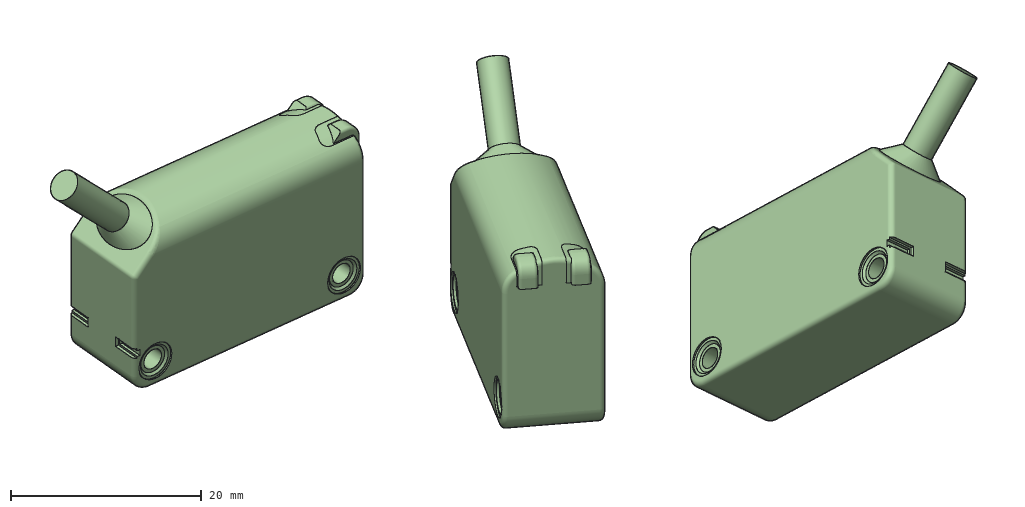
import cadquery as cq
import math


overall_length = 38.03

width = 11.0
length = 31.07
height = 20.08
crown_radius = 7.5
shoulder_radius = 2.85
cable_face_foot = 14.68
base_corner_radius = 2.05
edge_radius = 0.57

hole_y = (2.8, 28.2)
hole_z = 3.08
hole_radius = 1.18
rim_radius = 2.2
rim_depth = 0.2
funnel_top_radius = 1.85
funnel_floor_radius = 1.6
funnel_depth = 0.25

slot_inner_x = 2.32
slot_bottom = 4.45
slot_top = 5.63
slot_depth = 0.72
slot_step = 0.23
slot_ledge_depth = 0.38

cable_radius = 1.7
axis_sum = 20.75
boot_half_width = 4.0
boot_half_height = 2.8
boot_length = 1.67

hook_inner_x = 1.8
hook_outer_x = 3.88
hook_back = 31.75
hook_bottom = 17.15
hook_bend_radius = 1.75
hook_flat_front = 29.15
hook_edge_radius = 0.38
pad_inner_x = 1.3
pad_outer_x = 4.0
pad_front = 27.5
pad_inner_radius = 0.7
pad_outer_radius = 1.05

half_width = width / 2
cable_face_y = (axis_sum - cable_face_foot) / 2
cable_face = cq.Plane(
    origin=(0, cable_face_y, axis_sum - cable_face_y), xDir=(1, 0, 0), normal=(0, -1, 1)
)


cable_tip_y = hook_back - overall_length
cable_length = (cable_face_y - cable_tip_y) / math.sin(math.radians(45)) - cable_radius


def side_prism(outline, x_start, x_end):
    """Extrude a closed outline drawn in (Y, Z) from x_start to x_end."""
    return outline.close().extrude(x_end - x_start).translate((x_start, 0, 0))


def roof_section():
    """Cross-section in (X, Z): straight sides, shoulder arcs and a crown arc, all tangent."""
    crown_z = height - crown_radius
    shoulder_x = half_width - shoulder_radius
    centre_gap = crown_radius - shoulder_radius
    shoulder_z = crown_z + math.sqrt(centre_gap**2 - shoulder_x**2)
    join_angle = math.atan2(shoulder_z - crown_z, shoulder_x)
    middle_angle = join_angle / 2
    join_x = crown_radius * math.cos(join_angle)
    join_z = crown_z + crown_radius * math.sin(join_angle)
    middle_x = shoulder_x + shoulder_radius * math.cos(middle_angle)
    middle_z = shoulder_z + shoulder_radius * math.sin(middle_angle)
    return (
        cq.Workplane("XZ")
        .moveTo(-half_width, 0)
        .lineTo(half_width, 0)
        .lineTo(half_width, shoulder_z)
        .threePointArc((middle_x, middle_z), (join_x, join_z))
        .threePointArc((0, height), (-join_x, join_z))
        .threePointArc((-middle_x, middle_z), (-half_width, shoulder_z))
        .close()
    )


def housing_shell():
    """Solid outer shape of the housing with its rounded edges."""
    side_outline = (
        cq.Workplane("YZ")
        .lineTo(length, 0)
        .lineTo(length, height)
        .lineTo(height - cable_face_foot, height)
        .lineTo(0, cable_face_foot)
    )
    side = side_prism(side_outline, -half_width, half_width)
    side = side.edges("|X and <Z").fillet(base_corner_radius)
    shell = side.intersect(roof_section().extrude(-length))
    foot_edge = shell.edges("|X").edges(cq.NearestToPointSelector((0, 0, cable_face_foot)))
    base_edges = shell.edges("|Y and <Z")
    outline_edges = shell.edges("not (|X or |Y)")
    return outline_edges.add(base_edges).add(foot_edge).fillet(edge_radius)


def cylinder_along_axis(start, end, radius):
    """Cylinder on the cable axis between two distances from the cable face."""
    return cq.Workplane(cable_face).workplane(offset=start).circle(radius).extrude(end - start)


def boot():
    """Elliptical collar that narrows to the round cable."""
    return (
        cq.Workplane(cable_face)
        .ellipse(boot_half_width, boot_half_height)
        .workplane(offset=boot_length)
        .ellipse(cable_radius, cable_radius)
        .loft()
    )


def mounting_hole(y):
    """Through hole with a shallow rim recess and a funnel on both sides."""
    centre = (0, y, hole_z)
    hole = cq.Workplane("YZ", origin=centre).circle(hole_radius).extrude(half_width, both=True)
    for side in (-1, 1):
        face = cq.Workplane("YZ", origin=(side * half_width, y, hole_z))
        rim = face.circle(rim_radius).extrude(-side * rim_depth)
        funnel = (
            face.workplane(offset=-side * rim_depth)
            .circle(funnel_top_radius)
            .workplane(offset=-side * funnel_depth)
            .circle(funnel_floor_radius)
            .loft()
        )
        hole = hole.union(rim).union(funnel)
    return hole


def slot_block(inset, depth, side):
    """Box from the front wall inward and from the slot end out through one side wall."""
    inner_x = slot_inner_x + inset
    slot_width = half_width - inner_x
    slot_height = slot_top - slot_bottom - 2 * inset
    centre = (side * (inner_x + slot_width / 2), depth / 2, (slot_top + slot_bottom) / 2)
    return cq.Workplane().box(slot_width, depth, slot_height).translate(centre)


def corner_slot(side):
    """Slot with a ledge all round its floor."""
    return slot_block(0, slot_ledge_depth, side).union(slot_block(slot_step, slot_depth, side))


def hook_pad(side):
    """Block let into the roof and rear wall, with a 45 degree front end with rounded corners."""
    lower_front = pad_front - (height - hook_bottom)
    outline = (
        cq.Workplane("YZ")
        .moveTo(length, hook_bottom)
        .lineTo(length, height)
        .lineTo(pad_front, height)
        .lineTo(lower_front, hook_bottom)
    )
    pad = side_prism(outline, pad_inner_x, pad_outer_x)
    pad = pad.edges("<X exc (|Y or |Z)").fillet(pad_inner_radius)
    pad = pad.edges(">X exc (|Y or |Z)").fillet(pad_outer_radius)
    return pad if side > 0 else pad.mirror("YZ")


def hook_claw(side):
    """Bent bar over the rear edge of the roof, running on into the housing."""
    bend_offset = hook_bend_radius * (1 - math.sqrt(0.5))
    inner_front = hook_flat_front - (height - hook_bottom)
    outline = (
        cq.Workplane("YZ")
        .moveTo(hook_back, hook_bottom)
        .lineTo(hook_back, height - hook_bend_radius)
        .threePointArc(
            (hook_back - bend_offset, height - bend_offset),
            (hook_back - hook_bend_radius, height),
        )
        .lineTo(hook_flat_front, height)
        .lineTo(inner_front, hook_bottom)
    )
    claw = side_prism(outline, hook_inner_x, hook_outer_x)
    claw = claw.faces(">Y").edges("|Z").fillet(hook_edge_radius)
    return claw if side > 0 else claw.mirror("YZ")


def make_hook(side, shell):
    """One hook: the pad flush with the housing and the claw standing outside it."""
    pad = hook_pad(side).intersect(shell)
    claw = hook_claw(side).cut(shell)
    return claw.union(pad)


def make_housing(shell):
    """Housing with boot, cable bore, holes, slots and the pockets for the hook pads."""
    housing = shell.union(boot()).cut(cylinder_along_axis(0, boot_length, cable_radius))
    for y in hole_y:
        housing = housing.cut(mounting_hole(y))
    for side in (-1, 1):
        housing = housing.cut(corner_slot(side)).cut(hook_pad(side))
    return housing


def make_cable():
    """Round cable from the cable face to its free end."""
    return cylinder_along_axis(0, cable_length, cable_radius)


shell = housing_shell()
housing = make_housing(shell)
cable = make_cable()
hooks = [make_hook(side, shell) for side in (-1, 1)]

result = cq.Compound.makeCompound(
    [housing.val(), cable.val(), *[hook.val() for hook in hooks]]
)